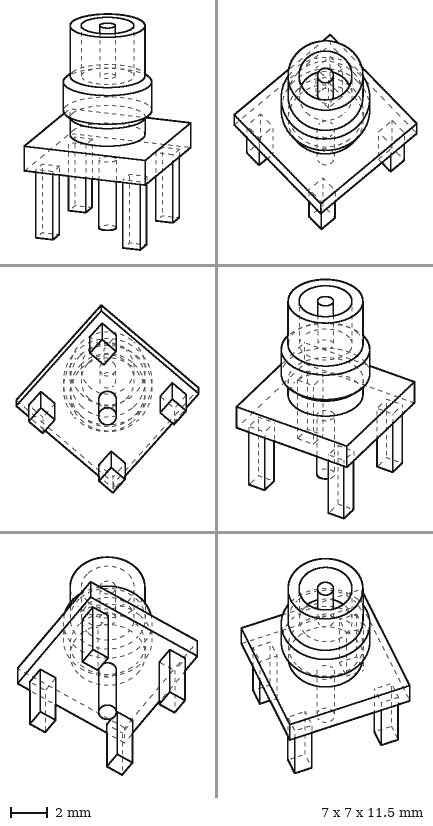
import cadquery as cq

total_height = 11.5
base_width = 7.0
base_thickness = 1.4

leg_length = 3.9
leg_width = 1.0
leg_inset = 0.48
signal_pin_diameter = 0.95

body_diameter = 4.06
collar_diameter = 4.8
neck_height = 1.0
lower_bevel_height = 0.37
collar_height = 1.63
upper_bevel_height = 0.33

socket_diameter = 2.86
contact_diameter = 0.86

base_top = leg_length + base_thickness
neck_top = base_top + neck_height
collar_bottom = neck_top + lower_bevel_height
collar_top = collar_bottom + collar_height
barrel_bottom = collar_top + upper_bevel_height
socket_depth = total_height - barrel_bottom


def make_base():
    plate = cq.Workplane("XY").workplane(offset=leg_length)
    return plate.rect(base_width, base_width).extrude(base_thickness)


def make_legs():
    spacing = base_width - 2 * leg_inset - leg_width
    corners = cq.Workplane("XY").rect(spacing, spacing, forConstruction=True).vertices()
    return corners.rect(leg_width, leg_width).extrude(leg_length)


def make_signal_pin():
    return cq.Workplane("XY").circle(signal_pin_diameter / 2).extrude(leg_length)


def make_body():
    """Revolve the stepped body with its bevelled collar, then cut the ring-shaped socket."""
    body_radius = body_diameter / 2
    collar_radius = collar_diameter / 2
    profile = [
        (0, base_top),
        (body_radius, base_top),
        (body_radius, neck_top),
        (collar_radius, collar_bottom),
        (collar_radius, collar_top),
        (body_radius, barrel_bottom),
        (body_radius, total_height),
        (0, total_height),
    ]
    body = cq.Workplane("XZ").polyline(profile).close().revolve(360, (0, 0), (0, 1))
    socket = (
        cq.Workplane("XY")
        .workplane(offset=total_height)
        .circle(socket_diameter / 2)
        .circle(contact_diameter / 2)
        .extrude(-socket_depth)
    )
    return body.cut(socket)


result = make_base().union(make_legs()).union(make_signal_pin()).union(make_body())